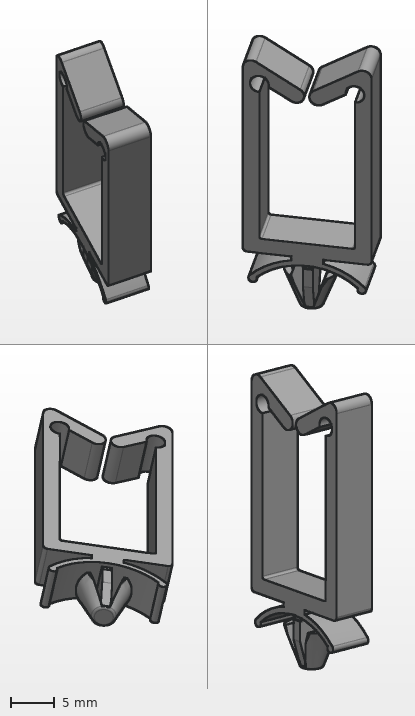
import cadquery as cq
import math

width = 15.0
depth = 5.3
height = 33.97

wall = 1.95
frame_bottom = 7.75
outer_corner_radius = 0.5
inner_corner_radius = 0.3
half_width = width / 2
inner_half_width = half_width - wall
floor_top = frame_bottom + wall

shoulder_radius = 1.02
shoulder_x = half_width - shoulder_radius
right_shoulder_z = height - shoulder_radius
shoulder_height_difference = 0.25
left_shoulder_z = right_shoulder_z - shoulder_height_difference
left_tip = (-1.32, 29.62)
left_tip_radius = 1.0
right_tip = (1.25, 29.62)
right_tip_radius = 1.02
hinge_hole_radius = 1.1
hinge_hole_z = 30.65

neck_width = 3.75
saddle_top = 7.4
saddle_radius = 9.4
saddle_thickness = 0.7
bead_radius = 0.5
bead_x = 6.35
saddle_center_z = saddle_top - saddle_radius
saddle_inner_radius = saddle_radius - saddle_thickness
saddle_inner_top = saddle_top - saddle_thickness
bead_track_radius = saddle_radius - bead_radius
bead_z = saddle_center_z + math.sqrt(bead_track_radius**2 - bead_x**2)

pin_radius = 2.25
pin_shoulder_z = 5.98
stem_thickness = 1.15
stem_root_half_depth = 2.05
stem_taper_z = 3.55
stem_tip_half_depth = 1.22
stem_tip_z = 0.15
barb_root_radius = 1.32
tip_round = 0.35
barb_top = 4.95
barb_radius = 3.2
barb_inner_x = 1.97
barb_root_x = 0.45
barb_root_z = 0.27
tab_embedding = 0.17


def prism(sketch, length):
    """Extrude a profile equally to both sides of its plane."""
    return sketch.extrude(length / 2, both=True)


def box_between(x0, x1, z0, z1, length):
    center = cq.Workplane("XZ").center((x0 + x1) / 2, (z0 + z1) / 2)
    return prism(center.rect(x1 - x0, z1 - z0), length)


def cylinder(center, radius, length=depth):
    return prism(cq.Workplane("XZ").center(*center).circle(radius), length)


def make_arm(shoulder, tip, tip_radius):
    """Rounded bar whose straight sides are tangent to both end circles."""
    dx = tip[0] - shoulder[0]
    dz = tip[1] - shoulder[1]
    tangent_offset = math.acos((shoulder_radius - tip_radius) / math.hypot(dx, dz))
    heading = math.atan2(dz, dx)

    def on_circle(center, radius, angle):
        return (center[0] + radius * math.cos(angle), center[1] + radius * math.sin(angle))

    first = heading + tangent_offset
    second = heading - tangent_offset
    outline = (
        cq.Workplane("XZ")
        .moveTo(*on_circle(shoulder, shoulder_radius, first))
        .lineTo(*on_circle(tip, tip_radius, first))
        .threePointArc(on_circle(tip, tip_radius, heading), on_circle(tip, tip_radius, second))
        .lineTo(*on_circle(shoulder, shoulder_radius, second))
        .threePointArc(
            on_circle(shoulder, shoulder_radius, heading + math.pi),
            on_circle(shoulder, shoulder_radius, first),
        )
        .close()
    )
    return prism(outline, depth)


def make_frame():
    frame = box_between(-half_width, half_width, frame_bottom, left_shoulder_z, depth)
    frame = frame.edges("|Y and <Z").fillet(outer_corner_radius)
    opening = box_between(-inner_half_width, inner_half_width, floor_top, height, 2 * depth)
    frame = frame.cut(opening.edges("|Y and <Z").fillet(inner_corner_radius))

    frame = frame.union(box_between(inner_half_width, half_width, hinge_hole_z, right_shoulder_z, depth))

    for side in (-1, 1):
        hinge = (side * inner_half_width, hinge_hole_z)
        if side < 0:
            shoulder = (-shoulder_x, left_shoulder_z)
            arm = make_arm(shoulder, left_tip, left_tip_radius)
        else:
            shoulder = (shoulder_x, right_shoulder_z)
            arm = make_arm(shoulder, right_tip, right_tip_radius)
        frame = frame.union(arm).cut(cylinder(hinge, hinge_hole_radius, 2 * depth))
    return frame


def make_saddle():
    center = (0, saddle_center_z)
    band = cylinder(center, saddle_radius).cut(cylinder(center, saddle_inner_radius))

    reach = 2 * saddle_radius / bead_track_radius
    far_x = bead_x * reach
    far_z = saddle_center_z + (bead_z - saddle_center_z) * reach
    wedge = cq.Workplane("XZ").polyline([center, (far_x, far_z), (-far_x, far_z)]).close()
    saddle = band.intersect(prism(wedge, depth))
    for side in (-1, 1):
        saddle = saddle.union(cylinder((side * bead_x, bead_z), bead_radius))

    neck = box_between(-neck_width / 2, neck_width / 2, saddle_inner_top, frame_bottom, depth)
    return saddle.union(neck.cut(cylinder(center, saddle_inner_radius)))


def make_stem():
    root_top = saddle_inner_top + saddle_thickness / 2
    outline = cq.Workplane("YZ").polyline([
        (-stem_tip_half_depth, stem_tip_z),
        (stem_tip_half_depth, stem_tip_z),
        (pin_radius, stem_taper_z),
        (pin_radius, pin_shoulder_z),
        (stem_root_half_depth, pin_shoulder_z),
        (stem_root_half_depth, root_top),
        (-stem_root_half_depth, root_top),
        (-stem_root_half_depth, pin_shoulder_z),
        (-pin_radius, pin_shoulder_z),
        (-pin_radius, stem_taper_z),
    ]).close()
    return prism(outline, stem_thickness)


def make_barbs():
    """Cone with flattened front and back, split by a V-shaped gap."""
    cone = (
        cq.Workplane("XY")
        .circle(barb_root_radius)
        .workplane(offset=barb_top)
        .circle(barb_radius)
        .loft(ruled=True)
    )
    cone = cone.faces("<Z").edges().fillet(tip_round)
    cone = cone.intersect(box_between(-barb_radius, barb_radius, 0, barb_top, 2 * pin_radius))
    gap = cq.Workplane("XZ").polyline([
        (-barb_root_x, barb_root_z),
        (barb_root_x, barb_root_z),
        (barb_inner_x, barb_top),
        (-barb_inner_x, barb_top),
    ]).close()
    return cone.cut(prism(gap, 2 * depth))


def make_tabs():
    """Thin round-backed tabs standing on the inner edges of the barbs."""
    tab_bottom = barb_top - tab_embedding
    disc = cq.Workplane("XY").workplane(offset=tab_bottom).circle(pin_radius)
    disc = disc.extrude(pin_shoulder_z - tab_bottom)
    return disc.cut(box_between(-barb_inner_x, barb_inner_x, 0, height, 2 * depth))


result = make_frame().union(make_saddle()).union(make_stem()).union(make_barbs()).union(make_tabs())